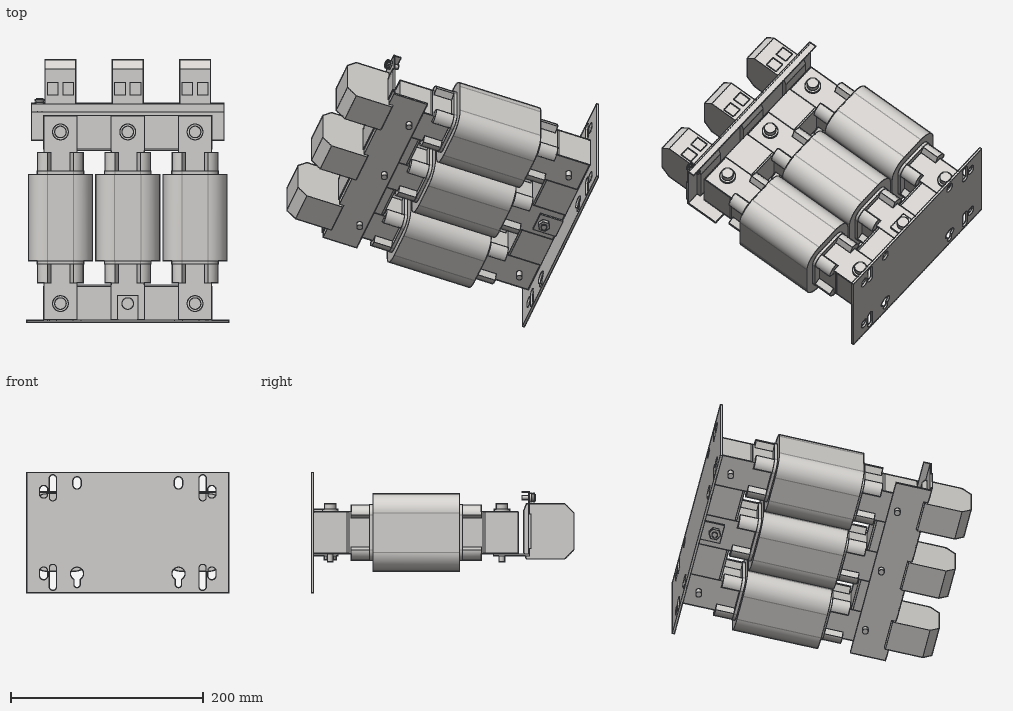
import cadquery as cq


plate_width = 210.0
plate_height = 125.0
plate_thickness = 2.5
tab_width = 21.0
tab_length = 27.8
tab_thickness = 2.2

long_slot = {"x": 77.8, "z": 46.5, "width": 7.5, "length": 27.0}
side_slot = {"x": 87.3, "z": 42.3, "width": 8.5, "length": 13.0}
hanging_slot = {"x": 52.7, "z": 51.5, "width": 8.5, "length": 12.5}
keyhole_z = -42.5
keyhole_diameter = 13.5
keyhole_slot_width = 6.3
keyhole_bottom_z = -57.0

phase_pitch = 69.9
phase_positions = [-phase_pitch, 0, phase_pitch]
leg_width = 34.5
leg_end_inset = 0.8
leg_height = 44.2
core_end_y = 215.0
yoke_length = 34.7
yoke_height = 42.5
yoke_lip = 2.0
yoke_overhang = 0.3
lip_inset = 0.15
core_width = 2 * phase_pitch + leg_width + 2 * yoke_overhang

coil_width = 66.9
coil_height = 80.8
coil_corner_radius = 20.0
coil_start_y = 63.9
coil_end_y = 154.0
collar_width = 48.5
collar_height = 58.5
collar_corner_radius = 11.0
collar_thickness = 3.3
post_inset = 0.4
post_start_y = 41.2
post_end_y = 176.5
post_inner_x = 9.8
post_inner_z = 15.0

bolt_end_distance = 17.2
bolt_head_radius = 6.0
bolt_head_top_z = 30.0
bolt_shank_radius = 3.0
bolt_shank_bottom_z = -30.3
washer_radius = 8.2
washer_thickness = 2.2
nut_corner_diameter = 12.5
nut_bottom_z = -28.5

bracket_width = 200.3
bracket_front_y = 225.5
bracket_back_y = 226.8
bracket_top_z = 42.8
bracket_foot_start_y = 189.0
bracket_foot_thickness = 2.2
flange_start_y = 218.5
flange_thickness = 1.0
stiffener_back_y = 228.0
stiffener_bottom_z = -16.5
stiffener_top_z = 19.0

terminal_width = 32.2
terminal_back_y = 273.0
terminal_front_y = 220.5
terminal_top_z = 30.0
terminal_bottom_z = -27.5
terminal_back_chamfer = 9.8
terminal_front_bevel_y = 2.7
terminal_front_bevel_z = 7.0
pocket_width = 11.0
pocket_length = 12.8
pocket_center_y = 242.5
pocket_depth = 1.5

screw_x = -91.5
screw_z = 36.3
screw_shank_radius = 2.5
screw_washer_radius = 4.6
screw_washer_thickness = 1.6
screw_neck_radius = 4.0
screw_head_radius = 4.6
screw_head_start_y = 230.0
screw_head_end_y = 231.7
screw_tip_radius = 3.3
screw_tip_end_y = 232.5


def box(x_range, y_range, z_range):
    """Box between the given limits on each axis."""
    size = [high - low for low, high in (x_range, y_range, z_range)]
    return cq.Workplane("XY").box(*size, centered=False).translate((x_range[0], y_range[0], z_range[0]))


def centred(width, middle=0):
    """Limits of a width laid evenly about its middle."""
    return (middle - width / 2, middle + width / 2)


def extrude_y(sketch_function, start_y, end_y):
    """Extrude an XZ outline from start_y to end_y."""
    plane = cq.Workplane(cq.Plane(origin=(0, start_y, 0), xDir=(-1, 0, 0), normal=(0, 1, 0)))
    return sketch_function(plane).extrude(end_y - start_y)


def rod_y(x, z, radius, start_y, end_y):
    """Round rod along Y."""
    return extrude_y(lambda plane: plane.center(-x, z).circle(radius), start_y, end_y)


def rod_z(x, y, radius, bottom_z, top_z):
    """Round rod along Z."""
    return cq.Workplane("XY", origin=(x, y, bottom_z)).circle(radius).extrude(top_z - bottom_z)


def rounded_bar(width, height, radius, start_y, end_y):
    """Bar along Y with a rounded rectangular section."""
    return extrude_y(lambda plane: plane.rect(width, height), start_y, end_y).edges("|Y").fillet(radius)


def upright_slot(x, z, width, length):
    """Cutter for a round-ended slot standing along Z in the mounting plate."""
    return extrude_y(
        lambda plane: plane.center(-x, z).slot2D(length, width, 90), 0, plate_thickness
    )


def keyhole(x):
    """Cutter for a keyhole whose narrow slot points down."""
    slot_top_z = keyhole_z + keyhole_slot_width / 2
    slot_length = slot_top_z - keyhole_bottom_z
    slot_z = (slot_top_z + keyhole_bottom_z) / 2
    round_part = rod_y(x, keyhole_z, keyhole_diameter / 2, 0, plate_thickness)
    return round_part.union(upright_slot(x, slot_z, keyhole_slot_width, slot_length))


def mounting_plate():
    """Plate with its openings, and the two tabs that grip the core."""
    plate = box(centred(plate_width), (0, plate_thickness), centred(plate_height))
    for side in (-1, 1):
        for slot in (long_slot, side_slot):
            for level in (-1, 1):
                plate = plate.cut(
                    upright_slot(side * slot["x"], level * slot["z"], slot["width"], slot["length"])
                )
        plate = plate.cut(
            upright_slot(
                side * hanging_slot["x"], hanging_slot["z"], hanging_slot["width"], hanging_slot["length"]
            )
        )
        plate = plate.cut(keyhole(side * hanging_slot["x"]))
    for bottom_z in (leg_height / 2, -leg_height / 2 - tab_thickness):
        tab = box(centred(tab_width), (0, tab_length), (bottom_z, bottom_z + tab_thickness))
        plate = plate.union(tab)
    return plate


def core():
    """Three legs joined by a yoke at each end, each yoke with a narrow lip on its inner side."""
    near_yoke_end = plate_thickness + yoke_length
    far_yoke_start = core_end_y - yoke_length
    body = box(centred(core_width), (plate_thickness, near_yoke_end), centred(yoke_height))
    body = body.union(box(centred(core_width), (far_yoke_start, core_end_y), centred(yoke_height)))
    lip_width = core_width - 2 * lip_inset
    lip_height = yoke_height - 2 * lip_inset
    for lip_start in (near_yoke_end, far_yoke_start - yoke_lip):
        body = body.union(box(centred(lip_width), (lip_start, lip_start + yoke_lip), centred(lip_height)))
    leg_length = (plate_thickness + leg_end_inset, core_end_y - leg_end_inset)
    for x in phase_positions:
        leg = box(centred(leg_width, x), leg_length, centred(leg_height))
        body = body.union(leg)
    return body


def corner_posts():
    """Four rounded bobbin posts, beveled towards the gaps between them."""
    width = collar_width - 2 * post_inset
    height = collar_height - 2 * post_inset
    radius = collar_corner_radius - post_inset
    bar = rounded_bar(width, height, radius, post_start_y, post_end_y)
    half_width = width / 2
    half_height = height / 2
    flat_x = half_width - radius
    flat_z = half_height - radius
    for side in (-1, 1):
        gap_in_width = [
            (-flat_x, side * half_height),
            (flat_x, side * half_height),
            (post_inner_x, side * leg_height / 2),
            (-post_inner_x, side * leg_height / 2),
        ]
        gap_in_height = [
            (side * half_width, -flat_z),
            (side * half_width, flat_z),
            (side * leg_width / 2, post_inner_z),
            (side * leg_width / 2, -post_inner_z),
        ]
        for outline in (gap_in_width, gap_in_height):
            gap = extrude_y(lambda plane: plane.polyline(outline).close(), post_start_y, post_end_y)
            bar = bar.cut(gap)
    return bar


def winding():
    """Coil with a bobbin collar at each end and the corner posts that run through it."""
    coil = rounded_bar(coil_width, coil_height, coil_corner_radius, coil_start_y, coil_end_y)
    collar = rounded_bar(
        collar_width,
        collar_height,
        collar_corner_radius,
        coil_start_y - collar_thickness,
        coil_end_y + collar_thickness,
    )
    return corner_posts().union(collar).union(coil)


def clamping_bolts():
    """Bolts through both yokes; the one held by the plate tabs has a nut in place of a washer."""
    bolts = cq.Workplane("XY")
    washer_top_z = leg_height / 2 + washer_thickness
    near_bolt_y = plate_thickness + bolt_end_distance
    far_bolt_y = core_end_y - bolt_end_distance
    for x in phase_positions:
        for y in (near_bolt_y, far_bolt_y):
            bolts = bolts.union(rod_z(x, y, bolt_shank_radius, bolt_shank_bottom_z, bolt_head_top_z))
            bolts = bolts.union(rod_z(x, y, bolt_head_radius, leg_height / 2, bolt_head_top_z))
            if x != 0 or y == far_bolt_y:
                bolts = bolts.union(rod_z(x, y, washer_radius, leg_height / 2, washer_top_z))
    nut_height = -leg_height / 2 - nut_bottom_z
    nut = cq.Workplane("XY", origin=(0, near_bolt_y, nut_bottom_z)).transformed(rotate=(0, 0, 90))
    return bolts.union(nut.polygon(6, nut_corner_diameter).extrude(nut_height))


def terminal_bracket():
    """Upright sheet with a foot under the core, a top flange and a stiffening strip on its back."""
    foot_top_z = -leg_height / 2
    foot_bottom_z = foot_top_z - bracket_foot_thickness
    width = centred(bracket_width)
    bracket = box(width, (bracket_front_y, bracket_back_y), (foot_bottom_z, bracket_top_z))
    bracket = bracket.union(box(width, (bracket_foot_start_y, bracket_back_y), (foot_bottom_z, foot_top_z)))
    flange_bottom_z = bracket_top_z - flange_thickness
    bracket = bracket.union(box(width, (flange_start_y, bracket_back_y), (flange_bottom_z, bracket_top_z)))
    stiffener = box(width, (bracket_back_y, stiffener_back_y), (stiffener_bottom_z, stiffener_top_z))
    return bracket.union(stiffener)


def terminal_block():
    """Pair of terminals with chamfered back edges, beveled front edges and two top pockets."""
    chamfer_start_y = terminal_back_y - terminal_back_chamfer
    bevel_end_y = terminal_front_y + terminal_front_bevel_y
    profile = [
        (bevel_end_y, terminal_bottom_z),
        (chamfer_start_y, terminal_bottom_z),
        (terminal_back_y, terminal_bottom_z + terminal_back_chamfer),
        (terminal_back_y, terminal_top_z - terminal_back_chamfer),
        (chamfer_start_y, terminal_top_z),
        (bevel_end_y, terminal_top_z),
        (terminal_front_y, terminal_top_z - terminal_front_bevel_z),
        (terminal_front_y, terminal_bottom_z + terminal_front_bevel_z),
    ]
    block = cq.Workplane("YZ").polyline(profile).close().extrude(terminal_width / 2, both=True)
    for x in (-terminal_width / 4, terminal_width / 4):
        pocket = box(
            centred(pocket_width, x),
            centred(pocket_length, pocket_center_y),
            (terminal_top_z - pocket_depth, terminal_top_z),
        )
        block = block.cut(pocket)
    return block


def earthing_screw():
    """Screw with washer, neck and stepped head behind the bracket, its shank ending under the flange."""
    washer_end_y = bracket_back_y + screw_washer_thickness
    sections = [
        (screw_shank_radius, flange_start_y, bracket_back_y),
        (screw_washer_radius, bracket_back_y, washer_end_y),
        (screw_neck_radius, washer_end_y, screw_head_start_y),
        (screw_head_radius, screw_head_start_y, screw_head_end_y),
        (screw_tip_radius, screw_head_end_y, screw_tip_end_y),
    ]
    screw = cq.Workplane("XY")
    for radius, start_y, end_y in sections:
        screw = screw.union(rod_y(screw_x, screw_z, radius, start_y, end_y))
    return screw


result = mounting_plate().union(core()).union(clamping_bolts())
result = result.union(terminal_bracket()).union(earthing_screw())
for phase_x in phase_positions:
    result = result.union(winding().translate((phase_x, 0, 0)))
    result = result.union(terminal_block().translate((phase_x, 0, 0)))